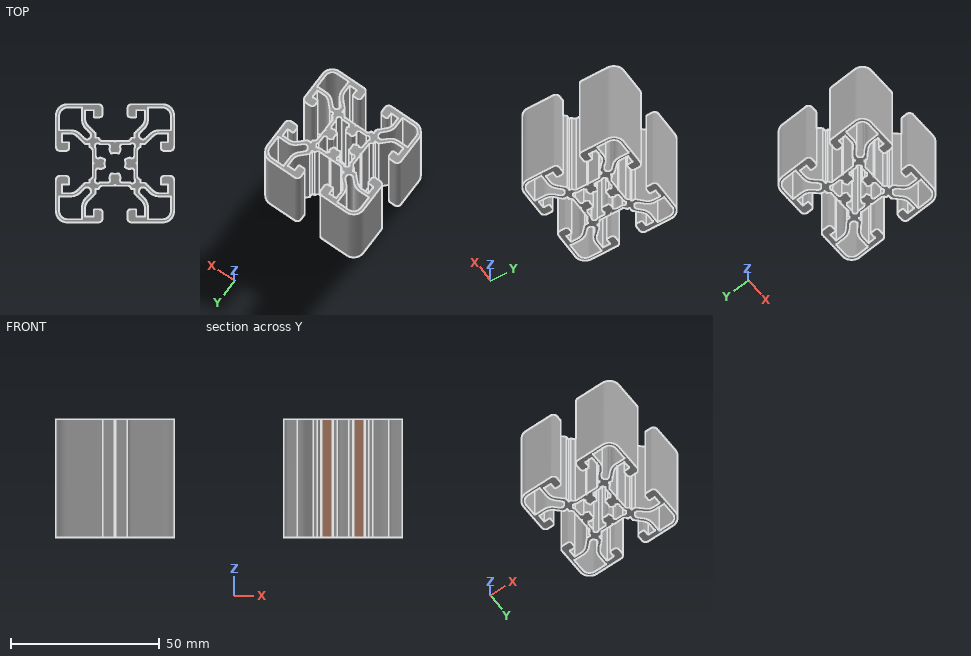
import cadquery as cq
import math

size = 40.0
half = size / 2
length = size
wall = 1.1
skin = 1.15
outer_radius = 4.0

slot_ceiling = half - 2.1
lip_end = half - 4.5
mouth_half = 4.15
lip_heel = 7.2
lip_outer_radius = 1.5
lip_inner_radius = 1.1
lip_heel_radius = 0.4

slot_half = 10.1
diagonal_rise = 3.6
step_half = 6.5
step_floor = 8.7
ramp_half = 5.55
floor_half = 4.5
slot_floor = 7.55
ramp_radius = 1.8
bend_radius = 3.5
groove_half = 0.3
groove_depth = 0.3

pocket_outer = half - skin
pocket_inner = slot_half + wall
pocket_throat_radius = 1.3
throat_centre = 9.45

cavity_half = slot_floor - wall
relief_centre = 5.8
relief_radius = 0.95
bore_radius = 3.5
boss_root_half = 2.3
boss_neck_half = 1.7
boss_neck_out = 5.75
boss_ridge_half = 2.0
boss_ridge_out = 5.05
boss_flank_half = 1.75
boss_flank_out = 4.2
boss_tip_half = 1.25
boss_tip_radius = 0.3

match_tolerance = 0.005


def quarter_turns(solid):
    """Unite a solid with its copies turned by 90, 180 and 270 degrees about Z."""
    ring = solid
    for turn in (90, 180, 270):
        ring = ring.union(solid.rotate((0, 0, 0), (0, 0, 1), turn))
    return ring


def with_mirror(half_solid):
    """Unite a half solid with its mirror image across the slot centre line."""
    return half_solid.union(half_solid.mirror("YZ"))


def edges_at(body, spots):
    """Select the lengthwise edges that stand at the given (x, y) spots."""
    picked = [
        edge for edge in body.edges("|Z").vals()
        if any(math.dist(edge.Center().toTuple()[:2], spot) < match_tolerance for spot in spots)
    ]
    return body.newObject(picked)


def round_edges(body, across, out, radius):
    """Fillet the lengthwise edges at (across, out) and at all its symmetric positions."""
    spots = [
        (side_x * x, side_y * y)
        for x, y in ((across, out), (out, across))
        for side_x in (1, -1)
        for side_y in (1, -1)
    ]
    return edges_at(body, spots).fillet(radius)


def make_slots():
    half_slot = (
        cq.Workplane("XY")
        .moveTo(0, half)
        .lineTo(mouth_half, half)
        .lineTo(mouth_half, lip_end)
        .lineTo(lip_heel, lip_end)
        .lineTo(lip_heel, slot_ceiling)
        .lineTo(slot_half, slot_ceiling)
        .lineTo(slot_half, slot_half + diagonal_rise)
        .lineTo(step_half, step_half + diagonal_rise)
        .lineTo(step_half, step_floor)
        .lineTo(ramp_half, step_floor)
        .radiusArc((floor_half, slot_floor), ramp_radius)
        .lineTo(groove_half, slot_floor)
        .lineTo(0, slot_floor - groove_depth)
        .close()
        .extrude(length)
    )
    return quarter_turns(with_mirror(half_slot))


def make_pockets():
    offset = pocket_throat_radius / math.sqrt(2)
    flank_rise = 2 * offset
    centre = throat_centre
    pocket = (
        cq.Workplane("XY")
        .moveTo(pocket_outer, pocket_outer)
        .lineTo(pocket_inner, pocket_outer)
        .lineTo(pocket_inner, pocket_inner + flank_rise)
        .lineTo(centre - offset, centre + offset)
        .threePointArc((centre - offset, centre - offset), (centre + offset, centre - offset))
        .lineTo(pocket_inner + flank_rise, pocket_inner)
        .lineTo(pocket_outer, pocket_inner)
        .close()
        .extrude(length)
    )
    return quarter_turns(pocket)


def make_bosses():
    tip_out = math.sqrt(bore_radius**2 - boss_tip_half**2)
    half_boss = (
        cq.Workplane("XY")
        .moveTo(0, cavity_half)
        .lineTo(boss_root_half, cavity_half)
        .threePointArc((boss_neck_half, boss_neck_out), (boss_ridge_half, boss_ridge_out))
        .threePointArc((boss_flank_half, boss_flank_out), (boss_tip_half, tip_out))
        .radiusArc((0, bore_radius), -bore_radius)
        .close()
        .extrude(length)
    )
    boss = with_mirror(half_boss)
    tip_edges = edges_at(boss, [(boss_tip_half, tip_out), (-boss_tip_half, tip_out)])
    return quarter_turns(tip_edges.fillet(boss_tip_radius))


def make_cavity():
    reliefs = (
        cq.Workplane("XY")
        .rect(2 * relief_centre, 2 * relief_centre, forConstruction=True)
        .vertices()
        .circle(relief_radius)
        .extrude(length)
    )
    square = cq.Workplane("XY").rect(2 * cavity_half, 2 * cavity_half).extrude(length)
    return square.union(reliefs).cut(make_bosses())


profile = cq.Workplane("XY").rect(size, size).extrude(length)
profile = profile.cut(make_slots()).cut(make_pockets()).cut(make_cavity())

profile = round_edges(profile, half, half, outer_radius)
profile = round_edges(profile, pocket_outer, pocket_outer, outer_radius - skin)

profile = round_edges(profile, mouth_half, half, lip_outer_radius)
profile = round_edges(profile, mouth_half, lip_end, lip_inner_radius)
profile = round_edges(profile, lip_heel, lip_end, lip_heel_radius)

pocket_bend_out = pocket_inner + math.sqrt(2) * pocket_throat_radius
profile = round_edges(profile, slot_half, slot_half + diagonal_rise, bend_radius)
profile = round_edges(profile, pocket_inner, pocket_bend_out, bend_radius + wall)

result = profile